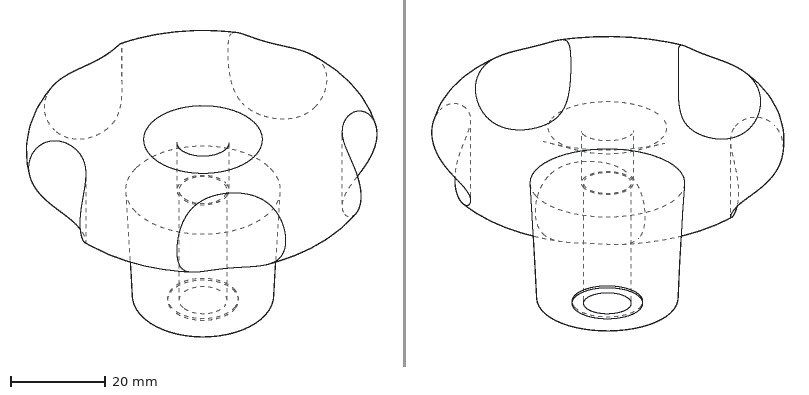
import cadquery as cq

rim_radius = 37.5
rim_height = 20.0
rim_round = rim_height / 2

scallop_count = 5
scallop_radius = 15.0
scallop_center_radius = 45.0
first_scallop_angle = -90.0

dish_edge_radius = 24.9
dish_floor_radius = 12.6
dish_depth = 7.0
dish_edge_fillet = 2.0

total_height = 48.4
bushing_radius = 7.5
bushing_protrusion = 0.45
stem_top_radius = 16.4
stem_end_radius = 15.0
stem_end_fillet = 1.0

upper_bore_radius = 11.0 / 2
lower_bore_radius = 10.1 / 2
bore_mouth_fillet = 1.0

stem_end_z = bushing_protrusion
rim_bottom_z = total_height - rim_height
rim_middle_z = rim_bottom_z + rim_round
dish_floor_z = total_height - dish_depth
bore_step_z = rim_bottom_z


def make_turned_body():
    """Revolve the half section of rim, dish, stem and bore about Z."""
    rim_flat_radius = rim_radius - rim_round
    section = (
        cq.Workplane("XZ")
        .moveTo(lower_bore_radius, 0)
        .lineTo(bushing_radius, 0)
        .lineTo(bushing_radius, stem_end_z)
        .lineTo(stem_end_radius, stem_end_z)
        .lineTo(stem_top_radius, rim_bottom_z)
        .lineTo(rim_flat_radius, rim_bottom_z)
        .threePointArc((rim_radius, rim_middle_z), (rim_flat_radius, total_height))
        .lineTo(dish_edge_radius, total_height)
        .lineTo(dish_floor_radius, dish_floor_z)
        .lineTo(upper_bore_radius, dish_floor_z)
        .lineTo(upper_bore_radius, bore_step_z)
        .lineTo(lower_bore_radius, bore_step_z)
        .close()
    )
    return section.revolve(360, (0, 0, 0), (0, 1, 0))


def round_circle(body, radius, z, fillet):
    """Fillet the circular edge that has the given radius and height."""
    margin = 0.1
    outer = cq.selectors.BoxSelector(
        (-radius - margin, -radius - margin, z - margin),
        (radius + margin, radius + margin, z + margin),
        boundingbox=True,
    )
    inner = cq.selectors.BoxSelector(
        (-radius + margin, -radius + margin, z - margin),
        (radius - margin, radius - margin, z + margin),
        boundingbox=True,
    )
    return body.edges(outer - inner).edges("%CIRCLE").fillet(fillet)


def make_scallops():
    """Upright cylinders centered outside the rim, one for each finger."""
    return (
        cq.Workplane("XY", origin=(0, 0, rim_bottom_z))
        .polarArray(scallop_center_radius, first_scallop_angle, 360, scallop_count)
        .circle(scallop_radius)
        .extrude(rim_height)
    )


knob = make_turned_body()
knob = round_circle(knob, dish_edge_radius, total_height, dish_edge_fillet)
knob = round_circle(knob, upper_bore_radius, dish_floor_z, bore_mouth_fillet)
knob = round_circle(knob, stem_end_radius, stem_end_z, stem_end_fillet)

result = knob.cut(make_scallops())